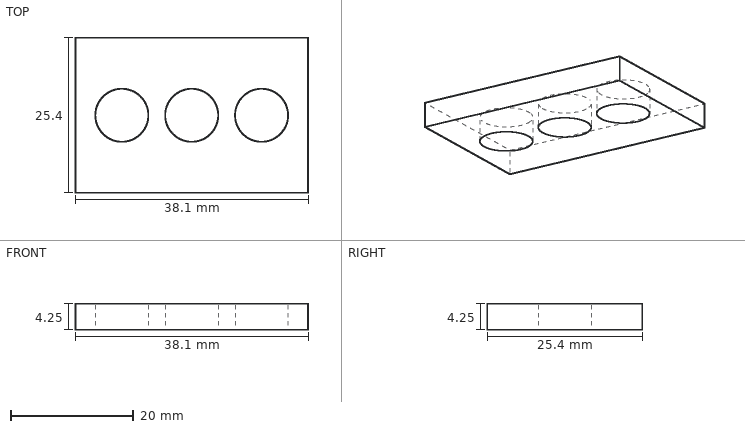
import cadquery as cq

length = 38.1
width = 25.4
thickness = 4.25

hole_diameter = 8.65
hole_pitch = 11.43
hole_count = 3

plate = cq.Workplane("XY").box(length, width, thickness)

result = (
    plate.faces(">Z")
    .workplane()
    .rarray(hole_pitch, 0.4, hole_count, 1)
    .hole(hole_diameter)
)